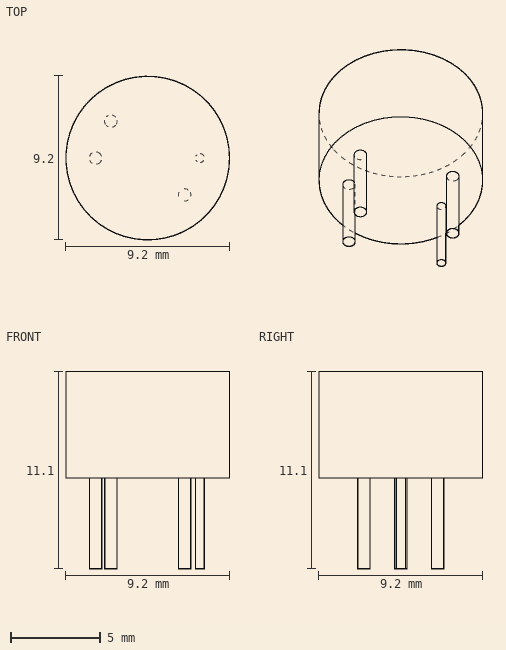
import cadquery as cq
import math

total_height = 11.1
can_diameter = 9.2
can_height = 6.0
pin_length = total_height - can_height

pin_circle_radius = 2.93
thick_pin_diameter = 0.7
thin_pin_diameter = 0.5
thick_pin_angles = (135, 180, 315)
thin_pin_angle = 0


def make_can():
    """Solid cylindrical can with its base at Z = 0."""
    return cq.Workplane("XY").circle(can_diameter / 2).extrude(can_height)


def make_pin(diameter, angle):
    """Round pin hanging from the can base at the given angle on the pin circle."""
    x = pin_circle_radius * math.cos(math.radians(angle))
    y = pin_circle_radius * math.sin(math.radians(angle))
    return cq.Workplane("XY").center(x, y).circle(diameter / 2).extrude(-pin_length)


can = make_can()
thick_pins = [make_pin(thick_pin_diameter, angle) for angle in thick_pin_angles]
thin_pin = make_pin(thin_pin_diameter, thin_pin_angle)

result = cq.Compound.makeCompound(
    [can.val(), *[pin.val() for pin in thick_pins], thin_pin.val()]
)